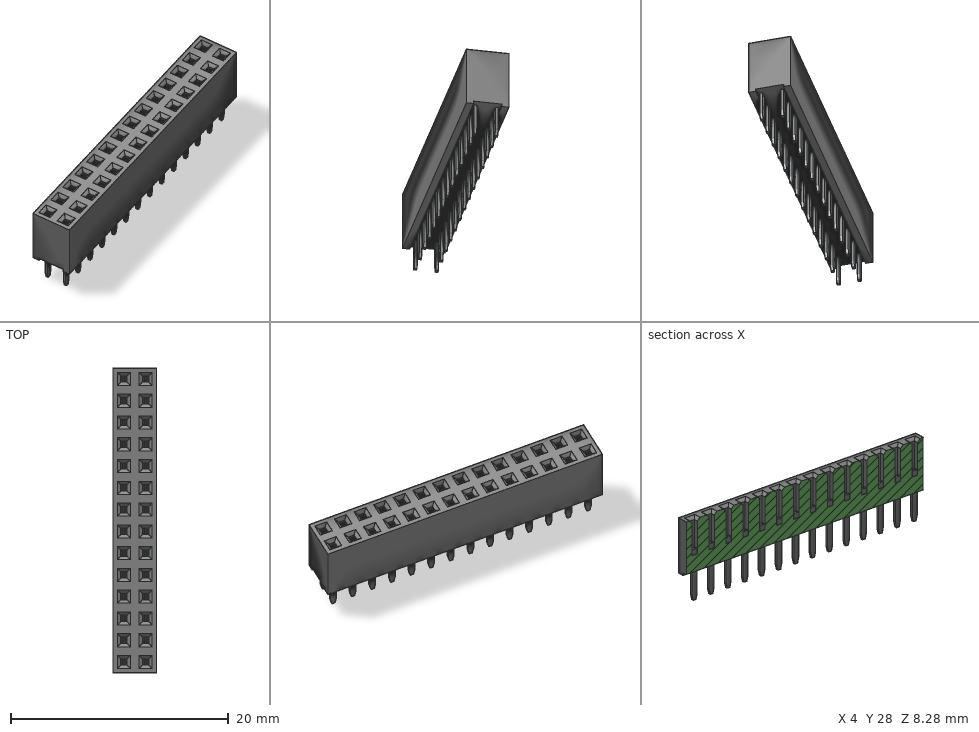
import cadquery as cq

length = 28.0
rows = 14
columns = 2
pitch = length / rows
width = columns * pitch

housing_height = 5.65
foot_height = 0.25
foot_width = 0.67

mouth_size = 1.2
hole_size = 0.6
funnel_depth = 0.3
hole_depth = 3.65
hole_floor_z = housing_height - hole_depth

pin_thickness = 0.25
pin_width = 0.6
pin_drop = 2.63
pin_rise = 0.55
tip_width = 0.3
tip_length = 0.6

contact_points = [
    ((column - (columns - 1) / 2) * pitch, (row - (rows - 1) / 2) * pitch)
    for column in range(columns)
    for row in range(rows)
]


def make_housing():
    """Block with a channel along the underside that leaves a foot on each side."""
    block = cq.Workplane("XY").box(width, length, housing_height, centered=(True, True, False))
    channel = cq.Workplane("XY").box(
        width - 2 * foot_width, length, foot_height, centered=(True, True, False)
    )
    return block.cut(channel)


def make_socket():
    """Cutter for one socket on the Z axis: the funnel and the hole below it."""
    funnel = (
        cq.Workplane("XY", origin=(0, 0, housing_height))
        .rect(mouth_size, mouth_size)
        .workplane(offset=-funnel_depth)
        .rect(hole_size, hole_size)
        .loft(ruled=True)
    )
    hole = cq.Workplane("XY", origin=(0, 0, hole_floor_z)).box(
        hole_size, hole_size, hole_depth - funnel_depth, centered=(True, True, False)
    )
    return funnel.union(hole)


def make_pin():
    """One pin on the Z axis, flat in X, with its tip narrowing in Y."""
    top_z = hole_floor_z + pin_rise
    shoulder_z = tip_length - pin_drop
    return (
        cq.Workplane("YZ", origin=(-pin_thickness / 2, 0, 0))
        .moveTo(-pin_width / 2, top_z)
        .lineTo(-pin_width / 2, shoulder_z)
        .lineTo(-tip_width / 2, -pin_drop)
        .lineTo(tip_width / 2, -pin_drop)
        .lineTo(pin_width / 2, shoulder_z)
        .lineTo(pin_width / 2, top_z)
        .close()
        .extrude(pin_thickness)
    )


def at_contacts(shape):
    """Copies of a shape at every contact position."""
    solid = shape.val()
    return cq.Workplane("XY").pushPoints(contact_points).eachpoint(
        lambda place: solid.moved(place), combine=False
    )


result = make_housing().cut(at_contacts(make_socket())).union(at_contacts(make_pin()))